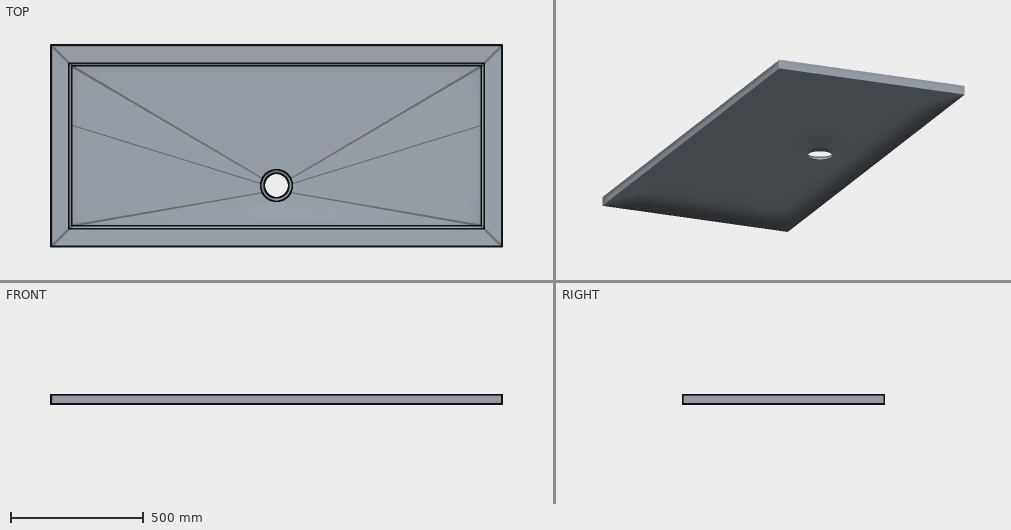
import cadquery as cq
import math

length = 1700.0
width = 760.0
height = 35.0
outer_corner_radius = 3.0
top_edge_radius = 2.9
pocket_corner_radius = 3.0

rim_width = 68.0
wall_run = 10.0
wall_inset = rim_width + wall_run
rim_inner_z = 34.0
floor_edge_z = 25.0

drain_y = -150.0
drain_radius = 60.0
hole_radius = 46.0
drain_top_z = 15.0
hole_top_z = 7.0

back_crease_angle = 27.0
side_crease_angle = 8.0
front_crease_angle = -26.0
corner_crease_spread = 0.5
side_crease_y = 78.0


def sloping_pocket(outer_inset, outer_z, inner_inset, inner_z):
    """Solid between two rounded rectangles at different heights."""
    wires = []
    for inset, z in ((outer_inset, outer_z), (inner_inset, inner_z)):
        outline = cq.Sketch().rect(length - 2 * inset, width - 2 * inset)
        outline = outline.vertices().fillet(pocket_corner_radius)
        level = cq.Workplane("XY", origin=(0, 0, z)).placeSketch(outline).extrude(17)
        wires.append(level.faces("<Z").val().outerWire())
    return cq.Solid.makeLoft(wires, True)


def drain_point(angle):
    """Point on the drain's upper circle."""
    turn = math.radians(angle)
    return cq.Vector(drain_radius * math.cos(turn), drain_y + drain_radius * math.sin(turn), drain_top_z)


def drain_arc(start_angle, end_angle):
    middle = (start_angle + end_angle) / 2
    return cq.Edge.makeThreePointArc(drain_point(start_angle), drain_point(middle), drain_point(end_angle))


def floor_outline():
    """Edges around the floor, anticlockwise from the right-hand crease."""
    x = length / 2 - wall_inset
    y = width / 2 - wall_inset
    r = pocket_corner_radius
    mid = r * (1 - math.sqrt(0.5))

    def point(px, py):
        return cq.Vector(px, py, floor_edge_z)

    def corner(start, middle, end):
        return cq.Edge.makeThreePointArc(point(*start), point(*middle), point(*end))

    def side(start, end):
        return cq.Edge.makeLine(point(*start), point(*end))

    return [
        side((x, side_crease_y), (x, y - r)),
        corner((x, y - r), (x - mid, y - mid), (x - r, y)),
        side((x - r, y), (r - x, y)),
        corner((r - x, y), (mid - x, y - mid), (-x, y - r)),
        side((-x, y - r), (-x, side_crease_y)),
        side((-x, side_crease_y), (-x, r - y)),
        corner((-x, r - y), (mid - x, mid - y), (r - x, -y)),
        side((r - x, -y), (x - r, -y)),
        corner((x - r, -y), (x - mid, mid - y), (x, r - y)),
        side((x, r - y), (x, side_crease_y)),
    ]


def floor_pocket():
    """Ruled floor falling from the wall to the drain circle."""
    half = corner_crease_spread / 2
    angles = [
        side_crease_angle,
        back_crease_angle - half,
        back_crease_angle + half,
        180 - back_crease_angle - half,
        180 - back_crease_angle + half,
        180 - side_crease_angle,
        180 - front_crease_angle - half,
        180 - front_crease_angle + half,
        360 + front_crease_angle - half,
        360 + front_crease_angle + half,
        360 + side_crease_angle,
    ]
    outline = floor_outline()
    circle = [drain_arc(start, end) for start, end in zip(angles, angles[1:])]
    faces = [cq.Face.makeRuledSurface(outer, inner) for outer, inner in zip(outline, circle)]
    faces.append(cq.Face.makeFromWires(cq.Wire.assembleEdges(outline)))
    faces.append(cq.Face.makeFromWires(cq.Wire.assembleEdges(circle)))
    return cq.Solid.makeSolid(cq.Shell.makeShell(faces)).fix()


def drain_cutters():
    """Conical drain seat and straight hole through the base."""
    seat = cq.Solid.makeCone(
        hole_radius, drain_radius, drain_top_z - hole_top_z, pnt=cq.Vector(0, drain_y, hole_top_z)
    )
    hole = cq.Solid.makeCylinder(hole_radius, height, pnt=cq.Vector(0, drain_y, 0))
    return seat, hole


tray = cq.Workplane("XY").box(length, width, height, centered=(True, True, False))
tray = tray.edges("|Z").fillet(outer_corner_radius)
tray = tray.faces(">Z").edges().fillet(top_edge_radius)

tray = tray.cut(cq.Workplane(sloping_pocket(top_edge_radius, height, rim_width, rim_inner_z)))
tray = tray.cut(cq.Workplane(sloping_pocket(rim_width, rim_inner_z, wall_inset, floor_edge_z)))
tray = tray.cut(cq.Workplane(floor_pocket()))
for cutter in drain_cutters():
    tray = tray.cut(cq.Workplane(cutter))

result = tray